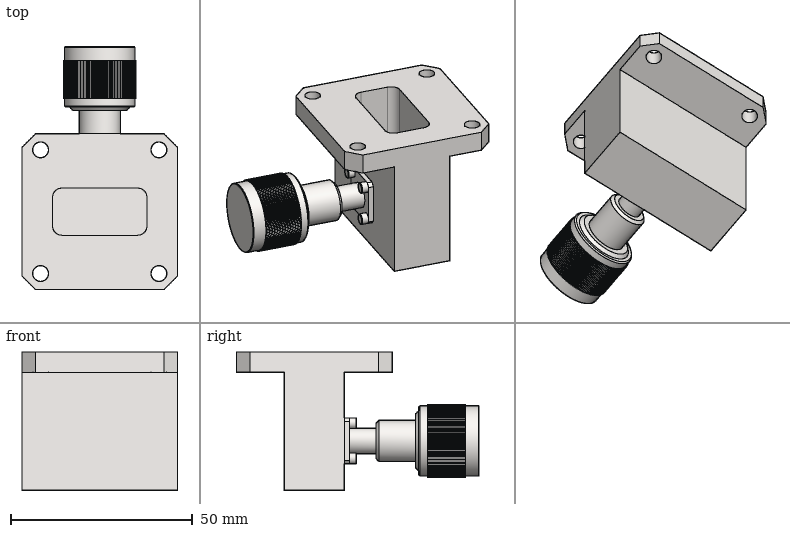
import cadquery as cq
import math

overall_height = 38.1
overall_length = 66.85
flange_side = 42.9
flange_thickness = 5.6
flange_corner_chamfer = 3.8
body_depth = 16.5
body_height = overall_height - flange_thickness
body_back = body_depth / 2

bolt_hole_diameter = 4.3
bolt_spacing_x = 32.55
bolt_spacing_y = 34.0

cavity_width = 25.95
cavity_depth = 13.0
cavity_corner_radius = 2.55
cavity_floor = (body_depth - cavity_depth) / 2

connector_height = 13.65
plate_side = 12.7
plate_thickness = 1.4
plate_corner_chamfer = 1.0
plate_back = body_back + plate_thickness
screw_head_diameter = 3.0
screw_head_height = 2.0
screw_head_chamfer = 0.2
screw_spacing = plate_side - screw_head_diameter

neck_diameter = 7.1
barrel_diameter = 11.4
barrel_front = 17.0
barrel_chamfer = 0.8
collar_diameter = 14.8
collar_front = 27.8
collar_chamfer = 0.95
nut_diameter = 19.45
nut_front = collar_front + collar_chamfer
nut_front_chamfer = 0.4
nut_end = overall_length - flange_side / 2
nut_end_chamfer = 0.2

knurl_diameter = 20.05
knurl_front = 31.15
knurl_length = 10.5
knurl_ridges = 130


def connector_plane(y):
    """Plane across the connector axis at station y, facing +Y."""
    return cq.Workplane("XZ", origin=(0, y, connector_height)).transformed(rotate=(0, 180, 0))


def make_waveguide():
    body = cq.Workplane("XY").box(flange_side, body_depth, body_height, centered=(True, True, False))
    flange = (
        cq.Workplane("XY", origin=(0, 0, body_height))
        .box(flange_side, flange_side, flange_thickness, centered=(True, True, False))
        .edges("|Z")
        .chamfer(flange_corner_chamfer)
        .faces(">Z")
        .workplane()
        .rect(bolt_spacing_x, bolt_spacing_y, forConstruction=True)
        .vertices()
        .hole(bolt_hole_diameter)
    )
    cavity = (
        cq.Workplane("XY", origin=(0, 0, cavity_floor))
        .rect(cavity_width, cavity_depth)
        .extrude(overall_height - cavity_floor)
        .edges("|Z")
        .fillet(cavity_corner_radius)
    )
    return body.union(flange).cut(cavity)


def make_mounting_plate():
    plate = (
        connector_plane(body_back)
        .rect(plate_side, plate_side)
        .extrude(plate_thickness)
        .edges("|Y")
        .chamfer(plate_corner_chamfer)
    )
    screw_heads = (
        connector_plane(plate_back)
        .rect(screw_spacing, screw_spacing, forConstruction=True)
        .vertices()
        .circle(screw_head_diameter / 2)
        .extrude(screw_head_height)
        .faces(">Y")
        .chamfer(screw_head_chamfer)
    )
    return plate.union(screw_heads)


def make_turned_connector():
    neck_radius = neck_diameter / 2
    barrel_radius = barrel_diameter / 2
    collar_radius = collar_diameter / 2
    nut_radius = nut_diameter / 2
    profile = [
        (0, plate_back),
        (neck_radius, plate_back),
        (neck_radius, barrel_front),
        (barrel_radius - barrel_chamfer, barrel_front),
        (barrel_radius, barrel_front + barrel_chamfer),
        (barrel_radius, collar_front),
        (collar_radius, collar_front),
        (collar_radius + collar_chamfer, nut_front),
        (nut_radius - nut_front_chamfer, nut_front),
        (nut_radius, nut_front + nut_front_chamfer),
        (nut_radius, nut_end - nut_end_chamfer),
        (nut_radius - nut_end_chamfer, nut_end),
        (0, nut_end),
    ]
    turned = cq.Workplane("XY").polyline(profile).close().revolve(360, (0, 0, 0), (0, 1, 0))
    return turned.translate((0, 0, connector_height))


def make_knurl():
    """Band of V-shaped ridges whose roots lie on the nut surface."""
    outline = []
    for step in range(2 * knurl_ridges):
        radius = (knurl_diameter if step % 2 == 0 else nut_diameter) / 2
        angle = math.pi * step / knurl_ridges
        outline.append((radius * math.cos(angle), radius * math.sin(angle)))
    return connector_plane(knurl_front).polyline(outline).close().extrude(knurl_length)


result = (
    make_waveguide()
    .union(make_mounting_plate())
    .union(make_turned_connector())
    .union(make_knurl())
)